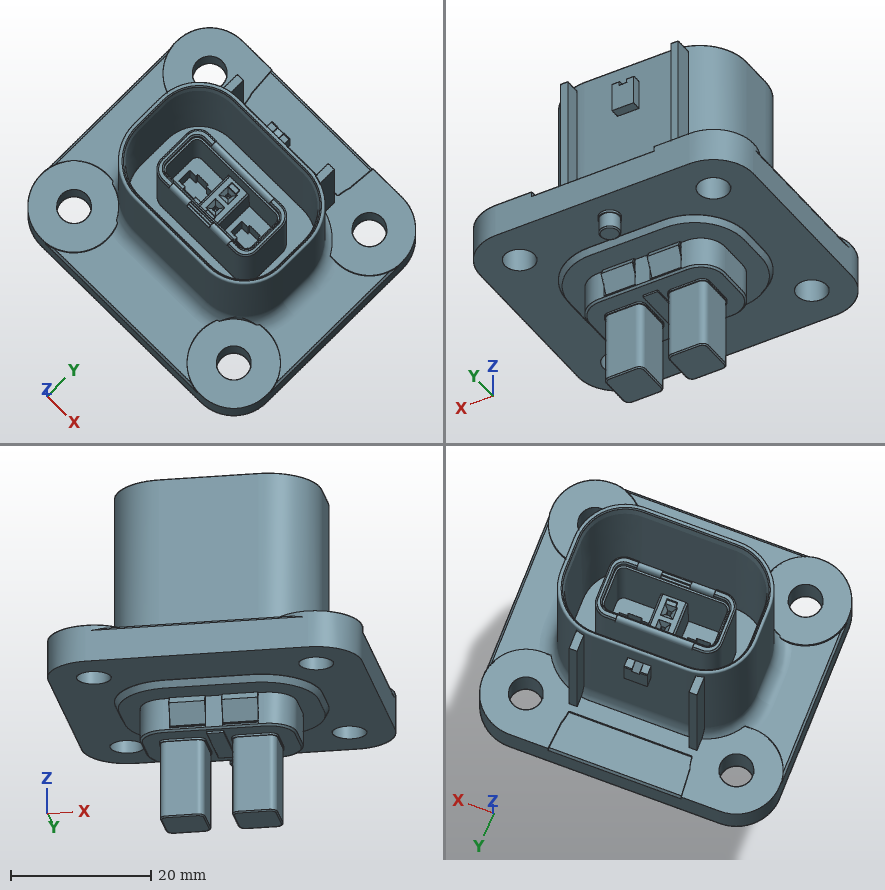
import cadquery as cq
import math


flange_x = 45.4
flange_y = 40.6
corner_radius = 6.6
pad_radius = 6.65
plate_top = 5.0
pad_top = 5.5
plate_edge_chamfer = 0.35
mount_hole_diameter = 4.95
hole_x = flange_x / 2 - corner_radius
hole_y = flange_y / 2 - corner_radius
back_recess_depth = 6.3
back_recess_outer_width = 20.35
back_recess_inner_width = 19.3
back_recess_fillet = 0.5

housing_x = 30.0
housing_y = 20.85
housing_radius = 7.8
housing_top = 31.05
housing_wall = 1.3
root_fillet = 2.5
flare_base_margin = 2.7
clearance_wall_gap = 0.015
rim_round = 0.25
cavity_draft = 0.3
lead_in_width = 0.3
lead_in_height = 1.45
mouth_chamfer = 0.2

rib_spacing = 18.35
rib_width = 1.22
rib_back = 12.95
rib_top = 29.9
latch_width = 3.6
latch_back = 11.95
latch_bottom = 22.55
latch_top = 27.45
latch_ramp_width = 1.22
latch_ramp_drop = 0.75
latch_edge_chamfer = 0.15

socket_x = 19.2
socket_y = 9.6
socket_radius = 2.25
socket_top = 24.2
socket_floor = 9.8
socket_wall_x = 1.2
socket_wall_y = 1.35
ledge_width = 0.3
ledge_depth = 1.1
socket_rim_chamfer = 0.25
rail_length = 11.75
rail_drop = 0.15
rail_gap = 4.45
key_ridge_width = 0.4

terminal_offset = 5.25
slot_length = 4.55
slot_width = 2.15
slot_centre_length = 2.1
slot_centre_width = 2.9
slot_depth = 4.9
block_base_width = 4.3
block_shoulder_width = 4.1
block_top_width = 3.55
block_top = 17.65
pin_hole_y = 1.25
pin_mouth = 1.85
pin_hole = 0.65
pin_taper_depth = 0.8
pin_hole_depth = 2.95
key_recess_x = 1.55
key_recess_y = 0.8
key_recess_depth = 0.5

plinth_x = 30.0
plinth_y = 22.25
plinth_radius = 8.75
plinth_depth = 1.05
plinth_land = 0.05
plinth_inset = 0.55
body_x = 22.65
body_y = 12.95
body_radius = 4.0
body_bottom = -6.1
body_edge_chamfer = 0.3
terminal_x = 6.45
terminal_y = 6.6
terminal_radius = 1.05
terminal_length = 11.85
terminal_collar_margin = 0.15
terminal_collar_height = 0.3
terminal_bottom = body_bottom - terminal_length
terminal_edge_chamfer = 0.2
strip_x = 2.45
strip_front = -5.45
strip_back = 4.3
strip_thickness = 0.3

clip_offset = 3.8
clip_width = 5.2
clip_window_bottom = -5.55
clip_bulge = 0.8
clip_fold = -2.0
clip_end = -5.05
clip_sheet = 0.3
clip_window_depth = 0.9

peg_y = 15.6
peg_diameter = 3.15
peg_length = 3.05
peg_collar_diameter = 3.4
peg_collar_height = 0.4
peg_chamfer = 0.2


def block(x, y, bottom, top):
    """Box centred on the Z axis between two heights."""
    return cq.Workplane("XY").workplane(offset=bottom).rect(x, y).extrude(top - bottom)


def rounded_block(x, y, radius, bottom, top):
    """Box with rounded vertical edges."""
    return block(x, y, bottom, top).edges("|Z").fillet(radius)


def drafted_block(x, y, radius, bottom, top, draft):
    """Rounded box that grows by the draft on every side from its bottom to its top."""
    angle = math.degrees(math.atan2(draft, top - bottom))
    outline = cq.Sketch().rect(x, y).vertices().fillet(radius)
    base = cq.Workplane("XY").workplane(offset=bottom).placeSketch(outline)
    return base.extrude(top - bottom, taper=-angle)


def at_hole_corners(signs_y):
    """Places of the mounting holes on the given Y sides."""
    return [(side_x * hole_x, side_y * hole_y) for side_x in (-1, 1) for side_y in signs_y]


def make_shroud():
    """Outside of the shroud, flaring through its root fillet into the flange."""
    base_x = housing_x + 2 * flare_base_margin
    base_y = housing_y + 2 * flare_base_margin
    base = rounded_block(base_x, base_y, housing_radius + flare_base_margin, 0, plate_top)
    wall = rounded_block(housing_x, housing_y, housing_radius, plate_top, housing_top)
    wall = wall.faces(">Z").edges().fillet(rim_round)
    reach_x = (housing_x + flare_base_margin) / 2
    reach_y = (housing_y + flare_base_margin) / 2
    foot = cq.selectors.BoxSelector(
        (-reach_x, -reach_y, plate_top - rim_round),
        (reach_x, reach_y, plate_top + rim_round),
        boundingbox=True,
    )
    return base.union(wall).edges(foot).fillet(root_fillet)


def make_raised_area():
    """Full-height areas of the flange: a pad per hole, the back two joined by a recessed strip."""
    pads = cq.Workplane("XY").pushPoints(at_hole_corners((-1, 1))).circle(pad_radius).extrude(pad_top)
    strip = block(2 * hole_x, 2 * pad_radius, 0, pad_top).translate((0, hole_y, 0))
    recess_front = flange_y / 2 - back_recess_depth
    recess = (
        cq.Workplane("XY")
        .polyline(
            [
                (-back_recess_outer_width / 2, flange_y / 2),
                (-back_recess_inner_width / 2, recess_front),
                (back_recess_inner_width / 2, recess_front),
                (back_recess_outer_width / 2, flange_y / 2),
            ]
        )
        .close()
        .extrude(pad_top)
        .edges("|Z and <Y")
        .fillet(back_recess_fillet)
    )
    return pads.union(strip.cut(recess))


def make_flange():
    """Rounded plate, lowered and edge-chamfered everywhere outside the raised areas."""
    slab = rounded_block(flange_x, flange_y, corner_radius, 0, pad_top)
    low_plate = rounded_block(flange_x, flange_y, corner_radius, 0, plate_top)
    low_plate = low_plate.faces(">Z").edges().chamfer(plate_edge_chamfer)
    lowering = slab.cut(low_plate).cut(make_raised_area())
    return slab.cut(lowering)


def make_front_pad_clearance():
    """Bolt-head clearance above the front pads, cut into the root fillet up to the shroud wall."""
    corner_x = housing_x / 2 - housing_radius
    corner_y = housing_y / 2 - housing_radius
    centre_distance = math.hypot(hole_x - corner_x, hole_y - corner_y)
    clearance_radius = centre_distance - housing_radius - clearance_wall_gap
    return (
        cq.Workplane("XY")
        .workplane(offset=pad_top)
        .pushPoints(at_hole_corners((-1,)))
        .circle(clearance_radius)
        .extrude(root_fillet)
    )


def make_housing_cavity():
    """Inside of the shroud: drafted walls, a steeper lead-in and a small chamfer at the mouth."""
    inset = housing_wall
    bottom = plate_top
    cavity = cq.Workplane("XY")
    for height, draft in (
        (housing_top - lead_in_height - plate_top, cavity_draft),
        (lead_in_height - mouth_chamfer, lead_in_width),
        (mouth_chamfer, mouth_chamfer),
    ):
        stage_x = housing_x - 2 * inset
        stage_y = housing_y - 2 * inset
        stage = drafted_block(stage_x, stage_y, housing_radius - inset, bottom, bottom + height, draft)
        cavity = cavity.union(stage)
        inset -= draft
        bottom += height
    return cavity


def make_ribs():
    """Two tall guide ribs behind the shroud."""
    rib = block(rib_width, rib_back, 0, rib_top).translate((0, rib_back / 2, 0))
    return rib.translate((-rib_spacing / 2, 0, 0)).union(rib.translate((rib_spacing / 2, 0, 0)))


def make_latch():
    """Catch behind the shroud, with a sloping channel down its middle."""
    catch = block(latch_width, latch_back, latch_bottom, latch_top).translate((0, latch_back / 2, 0))
    catch = catch.faces(">Z").edges(">Y").chamfer(latch_edge_chamfer)
    ramp = (
        cq.Workplane("YZ")
        .workplane(offset=-latch_ramp_width / 2)
        .polyline(
            [
                (housing_y / 2, latch_top),
                (latch_back, latch_top),
                (latch_back, latch_top - latch_ramp_drop),
            ]
        )
        .close()
        .extrude(latch_ramp_width)
    )
    return catch.cut(ramp)


def make_socket():
    """Rectangular inner wall with a stepped mouth and round-topped rails on its long sides."""
    wall = rounded_block(socket_x, socket_y, socket_radius, plate_top, socket_top)
    inner_x = socket_x - 2 * socket_wall_x
    inner_y = socket_y - 2 * socket_wall_y
    mouth_y = inner_y + 2 * ledge_width
    inner_radius = socket_radius - socket_wall_x
    well = rounded_block(inner_x, inner_y, inner_radius, socket_floor, socket_top)
    mouth = rounded_block(
        inner_x + 2 * ledge_width, mouth_y, inner_radius + ledge_width, socket_top - ledge_depth, socket_top
    )
    rail_radius = (socket_y - mouth_y) / 4
    rail_y = socket_y / 2 - rail_radius
    rail_axis = socket_top - rail_drop - rail_radius
    wall = wall.cut(well).cut(mouth)
    wall = wall.faces(">Z").edges().chamfer(socket_rim_chamfer)
    wall = wall.cut(block(rail_length, socket_y, rail_axis, socket_top))
    rail = (
        cq.Workplane("YZ")
        .workplane(offset=-rail_length / 2)
        .pushPoints([(-rail_y, rail_axis), (rail_y, rail_axis)])
        .circle(rail_radius)
        .extrude(rail_length)
    )
    key_gap = block(rail_gap, 2 * rail_radius, rail_axis, socket_top).translate((0, -rail_y, 0))
    key_ridge = block(rail_gap, key_ridge_width, rail_axis, socket_top - rail_drop).translate((0, -rail_y, 0))
    return wall.union(rail.cut(key_gap)).union(key_ridge)


def make_contact_block():
    """Tapered centre block with two square pin holes and their keying recesses."""
    shoulder = (block_shoulder_width - block_top_width) / 2
    depth = socket_y - 2 * socket_wall_y
    contact = (
        cq.Workplane("XZ")
        .workplane(offset=-depth / 2)
        .polyline(
            [
                (-block_base_width / 2, socket_floor),
                (block_base_width / 2, socket_floor),
                (block_shoulder_width / 2, block_top - shoulder),
                (block_top_width / 2, block_top),
                (-block_top_width / 2, block_top),
                (-block_shoulder_width / 2, block_top - shoulder),
            ]
        )
        .close()
        .extrude(depth)
    )
    recess_x = (pin_mouth - key_recess_x) / 2
    recess_y = pin_hole_y + (pin_mouth + key_recess_y) / 2
    for side in (-1, 1):
        taper = (
            cq.Workplane("XY")
            .workplane(offset=block_top)
            .center(0, side * pin_hole_y)
            .rect(pin_mouth, pin_mouth)
            .workplane(offset=-pin_taper_depth)
            .rect(pin_hole, pin_hole)
            .loft(combine=True)
        )
        hole = block(pin_hole, pin_hole, block_top - pin_hole_depth, block_top)
        recess = block(key_recess_x, key_recess_y, block_top - key_recess_depth, block_top)
        contact = contact.cut(taper).cut(hole.translate((0, side * pin_hole_y, 0)))
        contact = contact.cut(recess.translate((-side * recess_x, side * recess_y, 0)))
    return contact


def make_terminal_slots():
    """Cross-shaped blade slots in the socket floor."""
    bottom = socket_floor - slot_depth
    slot = block(slot_length, slot_width, bottom, socket_floor)
    slot = slot.union(block(slot_centre_length, slot_centre_width, bottom, socket_floor))
    return slot.translate((-terminal_offset, 0, 0)).union(slot.translate((terminal_offset, 0, 0)))


def make_underside():
    """Plinth, lower body, two terminal sleeves, contact strip and locating peg."""
    plinth = rounded_block(plinth_x, plinth_y, plinth_radius, -plinth_depth, 0)
    plinth = plinth.faces("<Z").edges().chamfer(plinth_depth - plinth_land, plinth_inset)
    body = rounded_block(body_x, body_y, body_radius, body_bottom, 0)
    body = body.faces("<Z").edges().chamfer(body_edge_chamfer)
    terminal = rounded_block(terminal_x, terminal_y, terminal_radius, terminal_bottom, body_bottom)
    terminal = terminal.faces("<Z").edges().chamfer(terminal_edge_chamfer)
    terminal_collar = rounded_block(
        terminal_x + 2 * terminal_collar_margin,
        terminal_y + 2 * terminal_collar_margin,
        terminal_radius + terminal_collar_margin,
        body_bottom - terminal_collar_height,
        body_bottom,
    )
    terminal = terminal.union(terminal_collar)
    strip = block(strip_x, strip_back - strip_front, body_bottom - strip_thickness, body_bottom)
    peg = cq.Workplane("XY").circle(peg_diameter / 2).extrude(-peg_length)
    peg = peg.faces("<Z").edges().chamfer(peg_chamfer)
    collar = cq.Workplane("XY").circle(peg_collar_diameter / 2).extrude(-peg_collar_height)
    under = plinth.union(body)
    for side in (-1, 1):
        under = under.union(terminal.translate((side * terminal_offset, 0, 0)))
    under = under.union(strip.translate((0, (strip_front + strip_back) / 2, 0)))
    return under.union(peg.union(collar).translate((0, peg_y, 0)))


def make_clip_window():
    """Pocket behind a spring clip on the -Y side of the lower body."""
    window = block(clip_width, clip_window_depth, clip_window_bottom, -plinth_depth)
    return window.translate((0, -(body_y - clip_window_depth) / 2, 0))


def make_clip():
    """Bent sheet spring that bulges out of the -Y side of the lower body."""
    face = -body_y / 2
    pocket = face + clip_window_depth
    outside = face - clip_bulge
    return (
        cq.Workplane("YZ")
        .workplane(offset=-clip_width / 2)
        .polyline(
            [
                (face - clip_sheet, -plinth_depth),
                (outside, clip_fold),
                (pocket - clip_sheet, clip_end),
                (pocket, clip_end),
                (outside + clip_sheet, clip_fold),
                (face, -plinth_depth),
            ]
        )
        .close()
        .extrude(clip_width)
    )


def add_clips(part):
    """Two spring clips with their pockets on each long side of the lower body."""
    for turn in (0, 180):
        for side in (-1, 1):
            place = (side * clip_offset, 0, 0)
            window = make_clip_window().translate(place).rotate((0, 0, 0), (0, 0, 1), turn)
            clip = make_clip().translate(place).rotate((0, 0, 0), (0, 0, 1), turn)
            part = part.cut(window).union(clip)
    return part


mount_holes = (
    cq.Workplane("XY").pushPoints(at_hole_corners((-1, 1))).circle(mount_hole_diameter / 2).extrude(pad_top)
)

shroud = make_shroud().cut(make_front_pad_clearance())

result = make_flange().union(shroud).union(make_ribs()).union(make_latch())
result = result.cut(make_housing_cavity()).cut(mount_holes)
result = result.union(make_socket()).union(make_contact_block()).cut(make_terminal_slots())
result = add_clips(result.union(make_underside()))